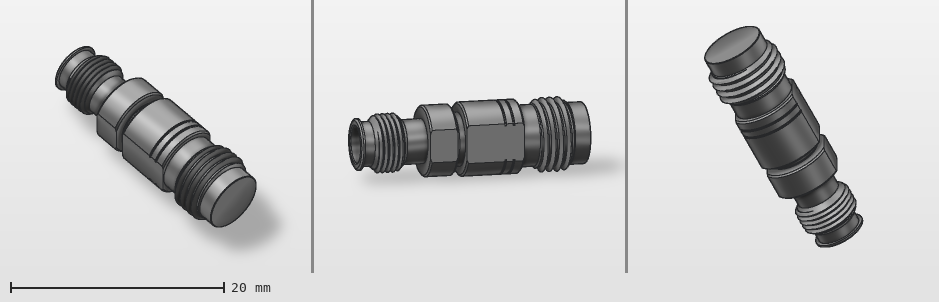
import cadquery as cq
import math

TOTAL_LENGTH = 22.2

LIP_RADIUS = 2.45
LIP_LENGTH = 0.33
LIP_CHAMFER_LENGTH = 0.15
LIP_CHAMFER_HEIGHT = 0.2
SMALL_NECK_RADIUS = 2.12

SMALL_THREAD_START = 1.36
SMALL_THREAD_END = 4.52
SMALL_CREST_RADIUS = 2.78
SMALL_ROOT_RADIUS = 2.41
SMALL_PITCH = 0.5
SMALL_CREST_X = 2.29

LARGE_NECK_RADIUS = 2.92
LARGE_END_CHAMFER = 0.06
LARGE_THREAD_START = 17.26
LARGE_THREAD_END = 20.68
LARGE_CREST_RADIUS = 3.5
LARGE_ROOT_RADIUS = 3.02
LARGE_PITCH = 0.75
LARGE_CREST_X = 18.4

THREAD_FLANK_ANGLE = 30.0
RIDGE_EMBED = 0.04

FLAT_DISTANCE = 3.0
BODY_CHAMFER = 0.16
SMALL_BODY_START = 6.5
SMALL_BODY_END = 9.2
SMALL_BODY_RADIUS = 3.375
LARGE_BODY_START = 10.05
LARGE_BODY_END = 15.68
LARGE_BODY_RADIUS = 3.5

GROOVE_CENTRES = (13.85, 14.65)
GROOVE_WIDTH = 0.15
GROOVE_DEPTH = 0.09

COLLAR_RADIUS = 2.56
COLLAR_START = 9.27
COLLAR_CHAMFER = 0.22

BORE_RADIUS = 1.75
BORE_DEPTH = 2.5
BORE_CHAMFER = 0.1
LINE_RADIUS = 0.675
LINE_DEPTH = 1.0
CONTACT_RADIUS = 0.31
CONTACT_HOLE_RADIUS = 0.17
CONTACT_CHAMFER = 0.06


def cylinder(start, end, radius):
    """Cylinder on the X axis between two X positions."""
    return cq.Workplane("YZ", origin=(start, 0, 0)).circle(radius).extrude(end - start)


def revolved(points):
    """Solid of revolution about X from (x, radius) points."""
    return cq.Workplane("XY").polyline(points).close().revolve(360, (0, 0, 0), (1, 0, 0))


def thread(start, end, neck_radius, root_radius, crest_radius, pitch, crest_x):
    """Right-handed sharp-crested thread with both ends bevelled down to the neck."""
    half_length = (end - start) / 2
    envelope = revolved([
        (start, 0),
        (start, neck_radius),
        (start + half_length, neck_radius + half_length),
        (end, neck_radius),
        (end, 0),
    ])
    base_radius = root_radius - RIDGE_EMBED
    half_base = (crest_radius - base_radius) * math.tan(math.radians(THREAD_FLANK_ANGLE))
    turns = math.ceil((end - start) / pitch) + 2
    lead_in = math.ceil((crest_x - start) / pitch) + 1
    helix = cq.Wire.makeHelix(pitch, turns * pitch, root_radius)
    ridge = (
        cq.Workplane("XZ")
        .polyline([(base_radius, -half_base), (crest_radius, 0), (base_radius, half_base)])
        .close()
        .sweep(cq.Workplane(obj=helix), isFrenet=True)
        .rotate((0, 0, 0), (0, 1, 0), 90)
        .rotate((0, 0, 0), (1, 0, 0), 180)
        .translate((crest_x - lead_in * pitch, 0, 0))
    )
    core = cylinder(start, end, root_radius).intersect(envelope)
    return core.union(ridge.intersect(envelope))


def wrench_body(start, end, radius):
    """Chamfered cylinder with two flats facing -Y and +Y."""
    body = cylinder(start, end, radius).faces("<X or >X").chamfer(BODY_CHAMFER)
    slab = cq.Workplane("XY").box(end - start, 2 * FLAT_DISTANCE, 2 * radius)
    return body.intersect(slab.translate(((start + end) / 2, 0, 0)))


def lip():
    """Bevelled lip at the mouth of the small port."""
    return revolved([
        (0, 0),
        (0, LIP_RADIUS - LIP_CHAMFER_HEIGHT),
        (LIP_CHAMFER_LENGTH, LIP_RADIUS),
        (LIP_LENGTH, LIP_RADIUS),
        (LIP_LENGTH, 0),
    ])


def collar():
    """Collar joining the large body, bevelled toward the small body."""
    ring = cylinder(COLLAR_START, LARGE_BODY_START, COLLAR_RADIUS)
    return ring.faces("<X").chamfer(COLLAR_CHAMFER)


def large_body():
    """Wrench body with its marking grooves."""
    body = wrench_body(LARGE_BODY_START, LARGE_BODY_END, LARGE_BODY_RADIUS)
    for centre in GROOVE_CENTRES:
        start = centre - GROOVE_WIDTH / 2
        end = centre + GROOVE_WIDTH / 2
        floor = cylinder(start, end, LARGE_BODY_RADIUS - GROOVE_DEPTH)
        body = body.cut(cylinder(start, end, LARGE_BODY_RADIUS).cut(floor))
    return body


def socket():
    """Cavity of the small port: bore, coaxial line and contact hole."""
    line_end = BORE_DEPTH + LINE_DEPTH
    bore = revolved([
        (0, 0),
        (0, BORE_RADIUS + BORE_CHAMFER),
        (BORE_CHAMFER, BORE_RADIUS),
        (BORE_DEPTH, BORE_RADIUS),
        (BORE_DEPTH, 0),
    ])
    contact = (
        cylinder(BORE_DEPTH, line_end, CONTACT_RADIUS)
        .cut(cylinder(BORE_DEPTH, line_end, CONTACT_HOLE_RADIUS))
        .faces("<X")
        .chamfer(CONTACT_CHAMFER)
    )
    return bore.union(cylinder(BORE_DEPTH, line_end, LINE_RADIUS).cut(contact))


small_neck = cylinder(0, LARGE_BODY_START, SMALL_NECK_RADIUS)
large_neck = (
    cylinder(LARGE_BODY_END, TOTAL_LENGTH, LARGE_NECK_RADIUS).faces(">X").chamfer(LARGE_END_CHAMFER)
)
small_thread = thread(
    SMALL_THREAD_START, SMALL_THREAD_END, SMALL_NECK_RADIUS,
    SMALL_ROOT_RADIUS, SMALL_CREST_RADIUS, SMALL_PITCH, SMALL_CREST_X,
)
large_thread = thread(
    LARGE_THREAD_START, LARGE_THREAD_END, LARGE_NECK_RADIUS,
    LARGE_ROOT_RADIUS, LARGE_CREST_RADIUS, LARGE_PITCH, LARGE_CREST_X,
)
small_body = wrench_body(SMALL_BODY_START, SMALL_BODY_END, SMALL_BODY_RADIUS)

result = (
    small_neck.union(lip())
    .union(small_thread)
    .union(small_body)
    .union(collar())
    .union(large_body())
    .union(large_neck)
    .union(large_thread)
    .cut(socket())
)